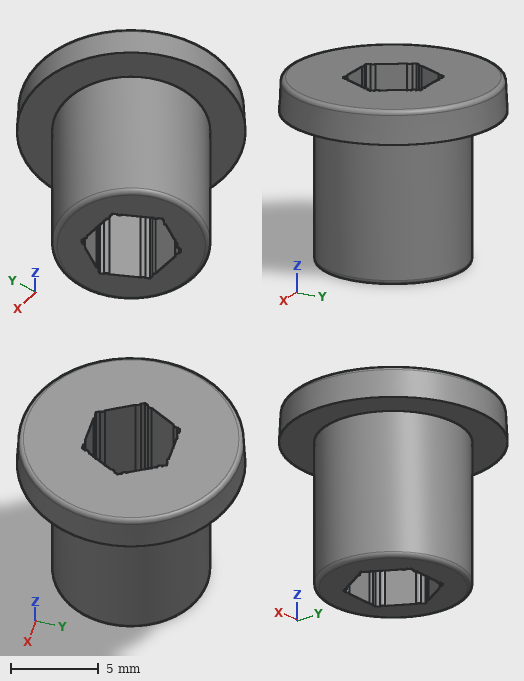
import cadquery as cq
import math

head_diameter = 13.0
total_height = 11.0
head_height = 2.0
shank_diameter = 9.0
edge_radius = 0.29
head_draft_angle = 3.0

hex_across_flats = 4.97
ridge_from_corner = 0.39
ridge_width = 0.3
ridge_height = 0.06


def make_body():
    """Round shank with a slightly tapered head and rounded outer edges."""
    head_bottom_z = total_height - head_height
    shank = cq.Workplane("XY").circle(shank_diameter / 2).extrude(total_height)
    shank = shank.faces("<Z").edges().fillet(edge_radius)
    head = (
        cq.Workplane("XY")
        .workplane(offset=head_bottom_z)
        .circle(head_diameter / 2)
        .extrude(head_height, taper=head_draft_angle)
        .faces(">Z").edges().fillet(edge_radius)
    )
    return shank.union(head)


def make_hex_hole():
    """Hexagonal prism whose flats carry a low arched ridge beside each corner."""
    side_length = hex_across_flats / math.sqrt(3)

    def flat_point(side, along, inward=0.0):
        """Point on a flat, measured from its first corner and inward from the flat."""
        corner_angle = math.radians(60 * side)
        along_angle = corner_angle + math.radians(120)
        inward_angle = along_angle + math.radians(90)
        return (
            side_length * math.cos(corner_angle)
            + along * math.cos(along_angle) + inward * math.cos(inward_angle),
            side_length * math.sin(corner_angle)
            + along * math.sin(along_angle) + inward * math.sin(inward_angle),
        )

    outline = cq.Workplane("XY").moveTo(*flat_point(0, 0))
    for side in range(6):
        for ridge_center in (ridge_from_corner, side_length - ridge_from_corner):
            ridge_start = flat_point(side, ridge_center - ridge_width / 2)
            ridge_crest = flat_point(side, ridge_center, ridge_height)
            ridge_end = flat_point(side, ridge_center + ridge_width / 2)
            outline = outline.lineTo(*ridge_start).threePointArc(ridge_crest, ridge_end)
        if side < 5:
            outline = outline.lineTo(*flat_point(side + 1, 0))
    return outline.close().extrude(total_height)


result = make_body().cut(make_hex_hole())